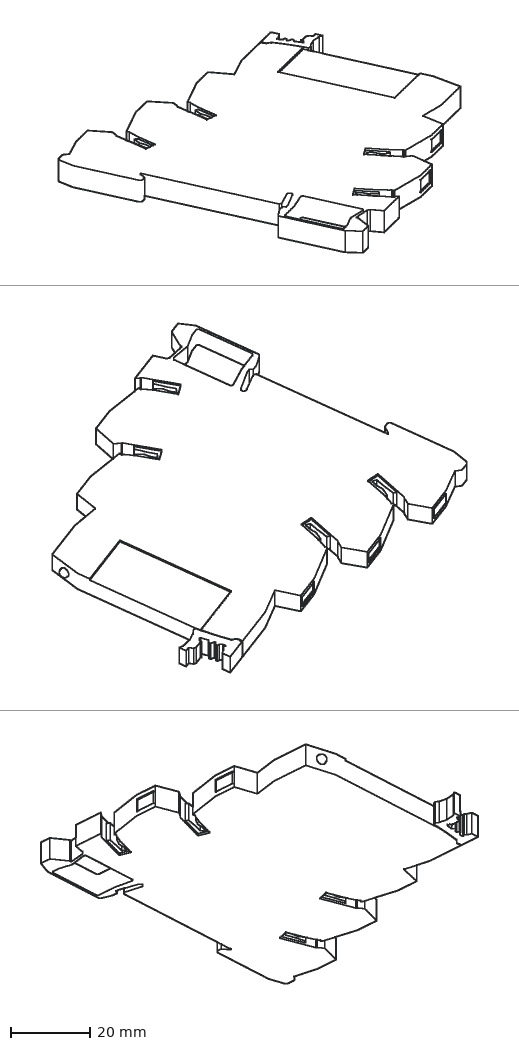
import cadquery as cq


width = 86.7
thickness = 6.2
top_y = 86.0
symmetry_x = 46.67

stage_shift_x = -7.0
stage_shift_y = -21.1
left_stage_count = 3
right_stage_count = 2
cut_off_y = 23.0
stage_side_x = 13.68
stage_shoulder_y = 63.4
stage_bend_y = 56.7

head_side_x = 18.6
head_shoulder_y = 83.9
head_bend_y = 72.7
head_foot = (20.2, 65.2)
head_slope_start_x = 66.0

slot_lip = [(16.05, 46.4), (16.3, 46.15), (16.8, 46.4), (17.2, 46.1)]
slot_pocket = [(19.8, 44.95), (25.7, 43.0), (24.65, 39.8), (17.7, 42.1)]
slot_lower_edge = [(14.9, 43.0), (14.7, 43.3)]
stage_peak = (13.05, 44.4)
liner_cavity = [
    (18.3, 42.8), (20.3, 42.3), (21.6, 42.0), (24.1, 41.2),
    (24.9, 42.2), (23.2, 42.8), (21.3, 43.0), (19.3, 44.2),
]
liner_setback = 0.6

label_length = 6.0
label_depth = 0.4
label_margin = 1.3

window_left_x = 29.6
window_right_x = 62.4
window_bottom_y = 71.1
window_depth = 0.5

rail_y = 6.0
foot_bottom_y = 2.4
foot_tip_x = 24.2
foot_corners = [(0, 6.7), (0, 3.8)]
foot_corner_radius = 1.0
latch_corner = (63.65, 0)
latch_corner_radius = 0.7
latch_hole_corner_radius = 0.6

clip_gap = 0.12
clip_web_width = 0.3
clip_web_offset = 0.4
clip_seat_left = (20.2, head_shoulder_y)
clip_seat_rise = (21.2, 84.9)
clip_seat_mid = (25.0, 85.6)
clip_seat_end = (29.2, 86.1)

lamp_radius = 1.35
lamp_center = (70.3, 85.15, thickness / 2)


def at_stage(points, stage):
    """Move points given for the top stage to another stage."""
    return [(x + stage * stage_shift_x, y + stage * stage_shift_y) for x, y in points]


def mirrored(points):
    """Mirror points about the symmetry line, keeping their order."""
    return [(2 * symmetry_x - x, y) for x, y in points]


def plate(points, bottom=0.0, top=thickness):
    """Extrude a closed polygon between two heights."""
    return cq.Workplane("XY").workplane(offset=bottom).polyline(points).close().extrude(top - bottom)


def stage_side():
    """Left edge of the top stage, from its shoulder down to the slot lip."""
    return [(stage_side_x, stage_shoulder_y), (stage_side_x, stage_bend_y)] + slot_lip


def slot_edge():
    """Edge of the slot below the top stage, ending at the peak of the next stage."""
    return slot_pocket + slot_lower_edge + [stage_peak]


def stepped_edge(stage_count):
    """Left edge of the plate, from the head down to the peak below the last full stage."""
    points = [(head_side_x, head_shoulder_y), (head_side_x, head_bend_y), head_foot]
    for stage in range(stage_count):
        points += at_stage(stage_side() + slot_edge(), stage)
    return points


def left_edge():
    """Left edge of the plate, from the head down to the peak of the lowest stage."""
    return stepped_edge(left_stage_count - 1)


def right_edge():
    """Right edge of the plate; the lowest stage is cut off before its peak."""
    return mirrored(stepped_edge(right_stage_count)[:-1]) + [(width, cut_off_y)]


def round_corner(body, corner, radius):
    """Round the upright edge that stands at a corner of the outline."""
    edge_middle = (corner[0], corner[1], thickness / 2)
    return body.edges(cq.selectors.NearestToPointSelector(edge_middle)).fillet(radius)


def make_housing():
    lowest_stage = [(0, 21.4), (0, 14.6), (1.4, 7.8), *foot_corners, (5.0, foot_bottom_y)]
    latch = [
        (63.4, 6.5), (63.4, 5.5), (62.5, 5.0), (62.5, 3.5), (62.9, 2.2), latch_corner,
        (82.5, 0), (width, 1.7), (width, 4.9), (82.4, 7.8), (81.9, 7.8),
        (82.7, 12.6), (83.2, 13.2), (width, 14.1),
    ]
    blank = (
        cq.Workplane("XY")
        .moveTo(*clip_seat_left)
        .polyline(left_edge() + lowest_stage, includeCurrent=True)
        .lineTo(23.4, foot_bottom_y)
        .threePointArc((24.0, 2.7), (foot_tip_x, 3.2))
        .lineTo(foot_tip_x, 4.3)
        .lineTo(22.3, 5.7)
        .lineTo(22.3, rail_y)
        .lineTo(61.1, rail_y)
        .lineTo(61.6, 6.6)
        .lineTo(60.5, 11.8)
        .threePointArc((61.2, 12.6), (62.0, 11.9))
        .polyline(latch, includeCurrent=True)
        .polyline(right_edge()[::-1], includeCurrent=True)
        .lineTo(head_slope_start_x, top_y)
        .lineTo(window_left_x, top_y)
        .lineTo(*clip_seat_end)
        .threePointArc(clip_seat_mid, clip_seat_rise)
        .close()
        .extrude(thickness)
    )
    for corner in foot_corners:
        blank = round_corner(blank, corner, foot_corner_radius)
    return round_corner(blank, latch_corner, latch_corner_radius)


def make_latch_hole():
    corners = [(64.2, 12.6), (65.1, 6.6), (65.1, 0.65), (81.65, 0.65), (81.65, 3.2), (80.7, 7.0), (81.9, 12.6)]
    return plate(corners).edges("|Z").edges(">Y or <Y").fillet(latch_hole_corner_radius)


def make_clip():
    def above_seat(point):
        return (point[0], point[1] + clip_gap)

    heel_and_teeth = [
        (head_side_x, 90.0), (20.9, 90.0), (21.4, 88.6), (21.8, 88.2), (21.5, 87.4), (22.4, 87.4),
        (23.1, 87.8), (23.3, 88.4), (23.8, 88.4), (24.1, 87.8), (24.6, 87.8),
        (25.1, 88.7), (25.6, 88.7), (26.2, 88.0), (26.9, 88.2), (28.2, 88.4),
    ]
    lever = [
        (28.5, 88.7), (28.1, 89.2), (27.3, 89.4), (27.6, 89.7), (27.6, 91.7), (28.0, 92.3),
        (29.2, 92.8), (29.2, 94.0), (31.3, 94.0), (30.7, 93.0), (30.3, 90.3), (30.7, 88.0),
        (31.2, 87.2), (30.9, 86.3),
    ]
    clip = (
        cq.Workplane("XY")
        .moveTo(*above_seat((head_side_x, head_shoulder_y)))
        .polyline(heel_and_teeth + lever, includeCurrent=True)
        .lineTo(*above_seat(clip_seat_end))
        .threePointArc(above_seat(clip_seat_mid), above_seat(clip_seat_rise))
        .lineTo(*above_seat(clip_seat_left))
        .close()
        .extrude(thickness)
    )
    web = cq.Workplane("XY").box(clip_web_width, 4 * clip_gap, thickness, centered=False)
    return clip.union(web.translate((head_side_x + clip_web_offset, head_shoulder_y - clip_gap, 0)))


def make_liner(stage, mirror):
    points = at_stage(slot_pocket + liner_cavity, stage)
    if mirror:
        points = mirrored(points)
    return plate(points, liner_setback, thickness - liner_setback)


def make_label_recess(stage, mirror):
    x = stage_side_x + label_depth
    corners = [
        (stage_side_x, stage_bend_y),
        (x, stage_bend_y),
        (x, stage_bend_y + label_length),
        (stage_side_x, stage_bend_y + label_length),
    ]
    corners = at_stage(corners, stage)
    if mirror:
        corners = mirrored(corners)
    return plate(corners, label_margin, thickness - label_margin)


def make_window():
    corners = [
        (window_left_x, window_bottom_y),
        (window_right_x, window_bottom_y),
        (window_right_x, top_y),
        (window_left_x, top_y),
    ]
    return plate(corners, thickness - window_depth)


result = make_housing().cut(make_latch_hole()).cut(make_window())
for stage in range(left_stage_count):
    result = result.cut(make_label_recess(stage, mirror=False))
for stage in range(right_stage_count):
    result = result.cut(make_label_recess(stage, mirror=True))
    result = result.union(make_liner(stage, mirror=False))
    result = result.union(make_liner(stage, mirror=True))
result = result.union(make_clip())
result = result.union(cq.Workplane("XY").sphere(lamp_radius).translate(lamp_center))